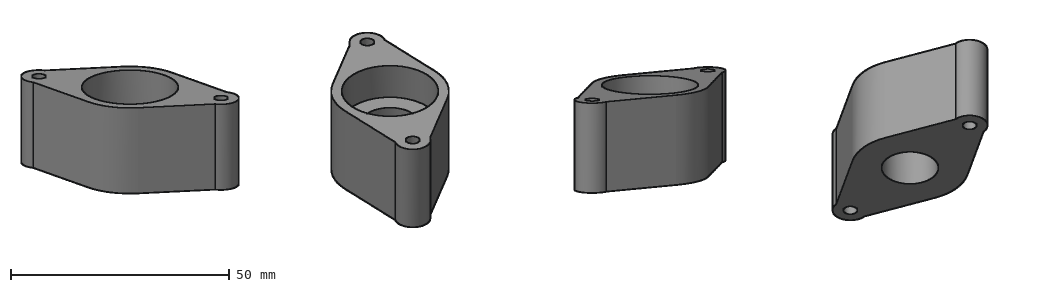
import cadquery as cq
import math

height = 21.0
hub_radius = 13.5
ear_radius = 4.1
screw_spacing = 44.0
screw_hole_diameter = 3.2
seat_diameter = 22.1
seat_depth = 8.5
bore_diameter = 13.0

ear_x = screw_spacing / 2
ear_end_distance = math.hypot(ear_x, ear_radius)
tangent_angle = math.atan2(ear_radius, ear_x) + math.acos(hub_radius / ear_end_distance)
tangent_x = hub_radius * math.cos(tangent_angle)
tangent_y = hub_radius * math.sin(tangent_angle)


def make_body():
    """Diamond-shaped flange body: round hub, straight flanks and two rounded ears."""
    return (
        cq.Workplane("XY")
        .moveTo(ear_x, ear_radius)
        .lineTo(tangent_x, tangent_y)
        .threePointArc((0, hub_radius), (-tangent_x, tangent_y))
        .lineTo(-ear_x, ear_radius)
        .threePointArc((-ear_x - ear_radius, 0), (-ear_x, -ear_radius))
        .lineTo(-tangent_x, -tangent_y)
        .threePointArc((0, -hub_radius), (tangent_x, -tangent_y))
        .lineTo(ear_x, -ear_radius)
        .threePointArc((ear_x + ear_radius, 0), (ear_x, ear_radius))
        .close()
        .extrude(height)
    )


def cut_seat_and_bore(body):
    """Round seat sunk from the top face, with a smaller bore through its floor."""
    return body.faces(">Z").workplane(origin=(0, 0, height)).cboreHole(
        bore_diameter, seat_diameter, seat_depth
    )


def cut_screw_holes(body):
    """One through hole on the axis of each ear."""
    return (
        body.faces(">Z")
        .workplane(origin=(0, 0, height))
        .pushPoints([(-ear_x, 0), (ear_x, 0)])
        .hole(screw_hole_diameter)
    )


result = cut_screw_holes(cut_seat_and_bore(make_body()))